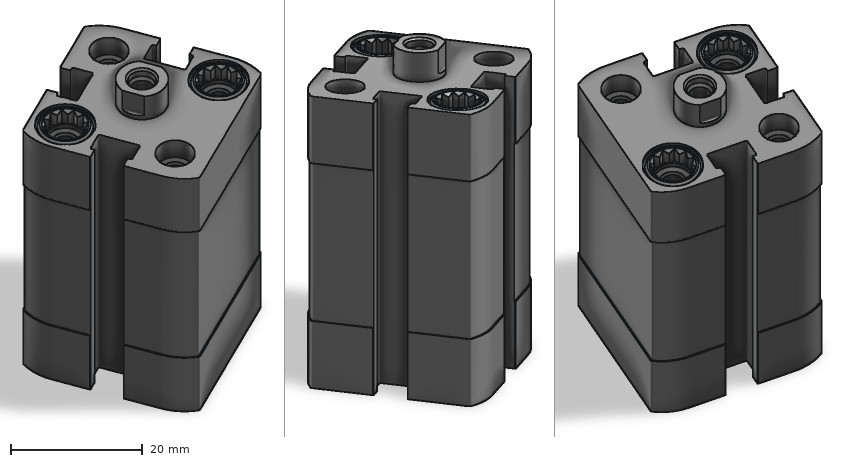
import cadquery as cq
import math

overall_height = 52.4
rod_protrusion = 4.75
housing_height = overall_height - rod_protrusion
cap_height = 10.95
barrel_height = housing_height - 2 * cap_height
cap_half_width = 29.0 / 2
barrel_inset = 0.2
barrel_half_width = cap_half_width - barrel_inset

corner_center_x = 8.95
cap_corner_radius = 9.5
corner_edge_fillet = 0.5

slot_mouth_width = 5.4
slot_inner_width = 6.8
slot_floor_offset = 9.3
slot_lip_offset = 12.75
slot_fillet = 0.3
slot_angles = (0, 90, 180)
slot_mouth_chamfer = 0.1

hole_pitch = 17.95
through_diameter = 3.25
through_chamfer = 0.35
counterbore_diameter = 6.0
counterbore_depth = 3.5

groove_outer_diameter = 9.2
groove_inner_diameter = 8.5
groove_depth = 0.45
socket_crown_diameter = 7.75
socket_lead_in_diameter = 7.15
socket_lead_in_angle = 52.0
socket_points = 12
socket_point_radius = 3.5
socket_ridge_radius = counterbore_diameter / 2
socket_depth = 2.7

rod_diameter = 8.0
rod_seat_depth = cap_height
flat_spacing = 7.2
flat_height = 3.95
flat_root_fillet = 0.25
rod_bore_mouth_diameter = 5.0
rod_bore_diameter = 4.3
rod_bore_depth = 1.4
rod_drill_diameter = 3.4
rod_drill_start = 1.9
rod_drill_depth = 9.95
drill_tip_angle = 118.0


def revolve_profile(points):
    """Revolve (radius, z) points about the Z axis."""
    return cq.Workplane("XZ").polyline(points).close().revolve(360, (0, 0), (0, 1))


def block(half_width, height):
    """Square block whose front and back faces curve into the sides at the corners."""
    radius = cap_corner_radius - (cap_half_width - half_width)
    center_y = half_width - radius
    corner_y = center_y + math.sqrt(radius**2 - (half_width - corner_center_x) ** 2)
    middle_angle = (math.pi / 2 + math.atan2(corner_y - center_y, half_width - corner_center_x)) / 2
    middle_x = corner_center_x + radius * math.cos(middle_angle)
    middle_y = center_y + radius * math.sin(middle_angle)
    return (
        cq.Workplane("XY")
        .moveTo(-corner_center_x, half_width)
        .lineTo(corner_center_x, half_width)
        .threePointArc((middle_x, middle_y), (half_width, corner_y))
        .lineTo(half_width, -corner_y)
        .threePointArc((middle_x, -middle_y), (corner_center_x, -half_width))
        .lineTo(-corner_center_x, -half_width)
        .threePointArc((-middle_x, -middle_y), (-half_width, -corner_y))
        .lineTo(-half_width, corner_y)
        .threePointArc((-middle_x, middle_y), (-corner_center_x, half_width))
        .close()
        .extrude(height)
        .edges("|Z and (>X or <X)")
        .fillet(corner_edge_fillet)
    )


def slot_cutter():
    """T-slot on the +Y side over the full housing height."""
    inner_depth = slot_lip_offset - slot_floor_offset
    inner = (
        cq.Workplane("XY")
        .center(0, slot_floor_offset + inner_depth / 2)
        .rect(slot_inner_width, inner_depth)
        .extrude(housing_height)
        .edges("|Z")
        .fillet(slot_fillet)
    )
    mouth_depth = cap_half_width - slot_floor_offset
    mouth = (
        cq.Workplane("XY")
        .center(0, slot_floor_offset + mouth_depth / 2)
        .rect(slot_mouth_width, mouth_depth)
        .extrude(housing_height)
    )
    return inner.union(mouth)


def mouth_chamfer_cutter():
    """Wedge that breaks both mouth edges of a cap slot on the +Y side."""
    half_mouth = slot_mouth_width / 2
    return (
        cq.Workplane("XY")
        .polyline(
            [
                (-half_mouth, cap_half_width - slot_mouth_chamfer),
                (half_mouth, cap_half_width - slot_mouth_chamfer),
                (half_mouth + slot_mouth_chamfer, cap_half_width),
                (-half_mouth - slot_mouth_chamfer, cap_half_width),
            ]
        )
        .close()
        .extrude(cap_height)
    )


def mounting_hole_cutter():
    """Stepped through hole, with its top face at z = 0."""
    counterbore_radius = counterbore_diameter / 2
    through_radius = through_diameter / 2
    return revolve_profile(
        [
            (0, 0),
            (counterbore_radius, 0),
            (counterbore_radius, -counterbore_depth),
            (through_radius + through_chamfer, -counterbore_depth),
            (through_radius, -counterbore_depth - through_chamfer),
            (through_radius, -housing_height),
            (0, -housing_height),
        ]
    )


def socket_cutter():
    """Twelve-point socket with a conical lead-in and a groove around it, top face at z = 0."""
    step = math.pi / socket_points
    outline = []
    for index in range(2 * socket_points):
        radius = socket_ridge_radius if index % 2 else socket_point_radius
        outline.append((radius * math.cos(index * step), radius * math.sin(index * step)))
    star = cq.Workplane("XY").polyline(outline).close().extrude(-socket_depth)

    lead_in_radius = socket_lead_in_diameter / 2
    lead_in_apex = -lead_in_radius * math.tan(math.radians(socket_lead_in_angle))
    lead_in = revolve_profile([(0, 0), (lead_in_radius, 0), (0, lead_in_apex)])

    groove = revolve_profile(
        [
            (socket_crown_diameter / 2, 0),
            (groove_outer_diameter / 2, 0),
            (groove_outer_diameter / 2, -groove_depth),
            (groove_inner_diameter / 2, -groove_depth),
        ]
    )
    return star.union(lead_in).union(groove)


def make_housing():
    cap = block(cap_half_width, cap_height)
    for angle in slot_angles:
        cap = cap.cut(mouth_chamfer_cutter().rotate((0, 0, 0), (0, 0, 1), angle))
    barrel = block(barrel_half_width, barrel_height).translate((0, 0, cap_height))
    housing = barrel.union(cap).union(cap.translate((0, 0, cap_height + barrel_height)))

    for angle in slot_angles:
        housing = housing.cut(slot_cutter().rotate((0, 0, 0), (0, 0, 1), angle))

    for side_x in (-1, 1):
        for side_y in (-1, 1):
            place = (side_x * hole_pitch / 2, side_y * hole_pitch / 2, housing_height)
            housing = housing.cut(mounting_hole_cutter().translate(place))
            if side_x == side_y:
                housing = housing.cut(socket_cutter().translate(place))

    rod_seat = (
        cq.Workplane("XY")
        .workplane(offset=housing_height - rod_seat_depth)
        .circle(rod_diameter / 2)
        .extrude(rod_seat_depth)
    )
    return housing.cut(rod_seat)


def flat_cutter():
    """Wrench flat on the +Y side of the rod, with a rounded root above its horizontal ledge."""
    flat_y = flat_spacing / 2
    outer_y = rod_diameter / 2
    return (
        cq.Workplane("XY")
        .box(rod_diameter, outer_y - flat_y, flat_height, centered=(True, False, False))
        .edges("|X and <Y and <Z")
        .fillet(flat_root_fillet)
        .translate((0, flat_y, overall_height - flat_height))
    )


def rod_bore_cutter():
    """Chamfered, stepped blind bore ending in a drill tip."""
    bore_radius = rod_bore_diameter / 2
    mouth_radius = rod_bore_mouth_diameter / 2
    drill_radius = rod_drill_diameter / 2
    tip_height = drill_radius / math.tan(math.radians(drill_tip_angle / 2))
    return revolve_profile(
        [
            (0, 0),
            (mouth_radius, 0),
            (bore_radius, bore_radius - mouth_radius),
            (bore_radius, -rod_bore_depth),
            (drill_radius, -rod_drill_start),
            (drill_radius, -rod_drill_depth),
            (0, -rod_drill_depth - tip_height),
        ]
    ).translate((0, 0, overall_height))


def make_piston_rod():
    rod = (
        cq.Workplane("XY")
        .workplane(offset=housing_height - rod_seat_depth)
        .circle(rod_diameter / 2)
        .extrude(rod_seat_depth + rod_protrusion)
    )
    for angle in (0, 180):
        rod = rod.cut(flat_cutter().rotate((0, 0, 0), (0, 0, 1), angle))
    return rod.cut(rod_bore_cutter())


housing = make_housing()
piston_rod = make_piston_rod()

result = cq.Compound.makeCompound([housing.val(), piston_rod.val()])